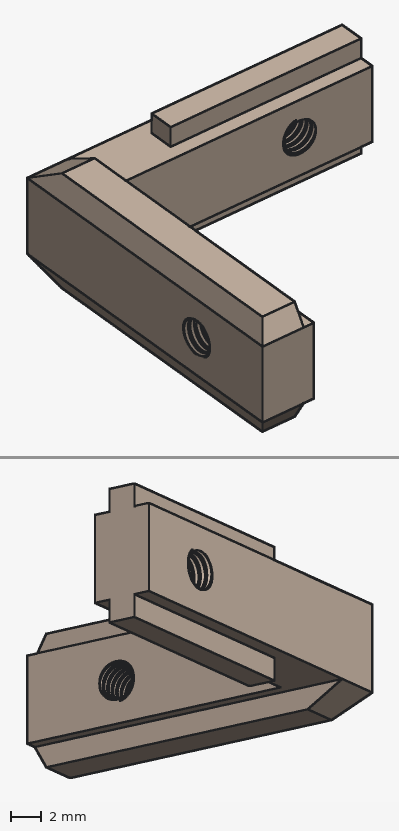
import cadquery as cq
import math

length_x = 24.5
length_y = 25.5
height = 9.2

core_height = 6.07
leg_thickness = 4.3

rib_depth = 3.45
rib_corner_slope = 2.75
rib_tip_slope = 0.92
rib_front_slope = 0.71

guide_width = 2.0
guide_length = 16.0

x_hole_from_end = 7.0
y_hole_from_end = 6.0
bore_diameter = 2.52
thread_diameter = 3.09
thread_pitch = 0.5
flank_angle = math.radians(30)
thread_overlap = 0.03

core_top = core_height / 2
rib_height = (height - core_height) / 2


def make_core():
    x_leg = cq.Workplane("XY").box(length_x, leg_thickness, core_height, centered=(False, False, True))
    y_leg = cq.Workplane("XY").box(leg_thickness, length_y, core_height, centered=(False, False, True))
    return x_leg.union(y_leg)


def make_tapered_rib():
    """Rib with three sloping sides and an upright back."""
    top_corner = (rib_corner_slope, rib_front_slope)
    top_opposite = (length_x - rib_tip_slope, rib_depth)
    top_outline = [
        top_corner,
        (top_opposite[0], top_corner[1]),
        top_opposite,
        (top_corner[0], top_opposite[1]),
    ]
    base_outline = [(0, 0), (length_x, 0), (length_x, rib_depth), (0, rib_depth)]
    return (
        cq.Workplane("XY", origin=(0, 0, core_top))
        .polyline(base_outline)
        .close()
        .workplane(offset=rib_height)
        .polyline(top_outline)
        .close()
        .loft(ruled=True)
    )


def make_guide_rib():
    guide_x = (leg_thickness - guide_width) / 2
    guide_y = length_y - guide_length
    corner = (guide_x, guide_y, core_top)
    return cq.Workplane("XY", origin=corner).box(guide_width, guide_length, rib_height, centered=False)


def make_thread_cutters(depth):
    """V-shaped helical groove and bore along +Z, entering the part at Z = 0."""
    bore_radius = bore_diameter / 2
    thread_radius = thread_diameter / 2
    inner_radius = bore_radius - thread_overlap
    half_width = (thread_radius - inner_radius) * math.tan(flank_angle)

    start = -thread_pitch
    turns = math.ceil(depth / thread_pitch) + 2
    helix = cq.Wire.makeHelix(thread_pitch, turns * thread_pitch, inner_radius)
    groove = (
        cq.Workplane("XZ")
        .polyline([(inner_radius, -half_width), (thread_radius, 0), (inner_radius, half_width)])
        .close()
        .sweep(cq.Workplane(obj=helix), isFrenet=True)
        .translate((0, 0, start))
    )
    bore = cq.Workplane("XY", origin=(0, 0, start)).circle(bore_radius).extrude(turns * thread_pitch)
    return groove, bore


def cut_threaded_hole(body, entry_plane, depth):
    for cutter in make_thread_cutters(depth):
        body = body.cut(cq.Workplane(obj=cutter.val().moved(entry_plane.location)))
    return body


result = make_core()
for rib in (make_tapered_rib(), make_guide_rib()):
    result = result.union(rib).union(rib.mirror("XY"))

x_hole_plane = cq.Plane((length_x - x_hole_from_end, 0, 0), xDir=(1, 0, 0), normal=(0, 1, 0))
y_hole_plane = cq.Plane((0, length_y - y_hole_from_end, 0), xDir=(0, 1, 0), normal=(1, 0, 0))
result = cut_threaded_hole(result, x_hole_plane, leg_thickness)
result = cut_threaded_hole(result, y_hole_plane, leg_thickness)
result = cq.Workplane(obj=result.solids().val())